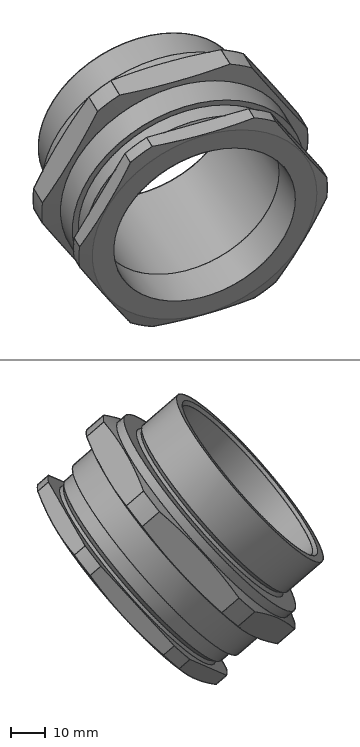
import cadquery as cq
import math

bore_radius = 28.1
mouth_radius = 29.1
mouth_depth = mouth_radius - bore_radius

thread_end = 13.4
relief_bottom = 14.5
collar_start = 15.4
body_hex_start = 18.2
body_hex_end = 27.3
seam = 36.1
ring_end = 41.0
neck_bottom = 42.2
nut_hex_start = 43.1
total_length = 48.3

thread_radius = 31.6
relief_radius = 30.5
collar_radius = 36.95
barrel_radius = 35.95
ring_radius = 34.1
neck_radius = 32.8
neck_end_radius = 33.6

body_hex_flats = 75.0
body_corner_radius = 41.2
body_chamfer_length = 1.2
nut_hex_flats = 70.25
nut_corner_radius = 38.5
nut_face_radius = 34.8
nut_chamfer_length = 1.1


def turned(profile):
    """Solid of revolution about X from (x, radius) points."""
    return cq.Workplane("XY").polyline(profile).close().revolve(360, (0, 0, 0), (1, 0, 0))


def hexagon(start, end, across_flats):
    """Hexagonal prism along X with corners on the Y axis and flats facing +Z and -Z."""
    corner_diameter = across_flats / math.cos(math.pi / 6)
    return cq.Workplane("YZ", origin=(start, 0, 0)).polygon(6, corner_diameter).extrude(end - start)


def make_body():
    """Threaded spigot, collar, chamfered hexagon and plain barrel."""
    outside = turned([
        (0, 0),
        (0, thread_radius),
        (thread_end, thread_radius),
        (relief_bottom, relief_radius),
        (collar_start, thread_radius),
        (collar_start, collar_radius),
        (body_hex_start, collar_radius),
        (body_hex_start, barrel_radius),
        (seam, barrel_radius),
        (seam, 0),
    ])
    hex_envelope = turned([
        (body_hex_start, 0),
        (body_hex_start, collar_radius),
        (body_hex_start + body_chamfer_length, body_corner_radius),
        (body_hex_end - body_chamfer_length, body_corner_radius),
        (body_hex_end, barrel_radius),
        (body_hex_end, 0),
    ])
    hex_flange = hexagon(body_hex_start, body_hex_end, body_hex_flats).intersect(hex_envelope)
    bore = turned([
        (0, 0),
        (0, mouth_radius),
        (mouth_depth, bore_radius),
        (seam, bore_radius),
        (seam, 0),
    ])
    return outside.union(hex_flange).cut(bore)


def make_nut():
    """Round ring with a tapered neck and a hexagon chamfered on its outer face."""
    outside = turned([
        (seam, 0),
        (seam, ring_radius),
        (ring_end, ring_radius),
        (neck_bottom, neck_radius),
        (nut_hex_start, neck_end_radius),
        (nut_hex_start, 0),
    ])
    hex_envelope = turned([
        (nut_hex_start, 0),
        (nut_hex_start, nut_corner_radius),
        (total_length - nut_chamfer_length, nut_corner_radius),
        (total_length, nut_face_radius),
        (total_length, 0),
    ])
    hex_head = hexagon(nut_hex_start, total_length, nut_hex_flats).intersect(hex_envelope)
    bore = turned([
        (seam, 0),
        (seam, bore_radius),
        (total_length, bore_radius),
        (total_length, 0),
    ])
    return outside.union(hex_head).cut(bore)


body = make_body()
nut = make_nut()
result = cq.Compound.makeCompound([body.val(), nut.val()])